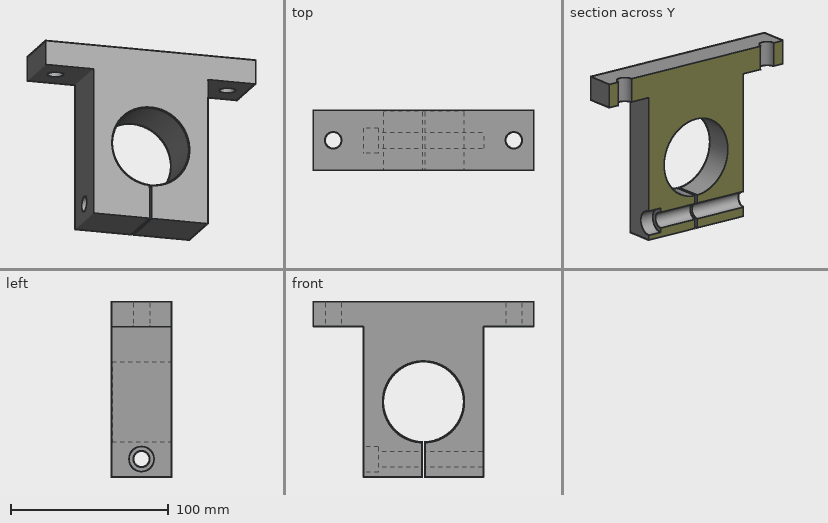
import cadquery as cq

thickness = 38.1
flange_length = 139.7
flange_height = 15.875
body_width = 76.2
total_height = 111.125

bore_diameter = 50.8
bore_depth_from_top = 63.5
bore_chamfer = 0.508
slit_width = 1.5875
edge_radius = 0.508

mount_hole_diameter = 10.319
mount_hole_spacing = 114.3

clamp_hole_diameter = 10.1
clamp_hole_height = 11.43
counterbore_diameter = 15.875
counterbore_depth = 9.525

top_z = bore_depth_from_top
bottom_z = top_z - total_height
side_x = body_width / 2


def make_block():
    """T-shaped block whose edges along Y are rounded, except at the top face."""
    flange_end = flange_length / 2
    flange_bottom = top_z - flange_height
    return (
        cq.Workplane("XZ", origin=(0, thickness / 2, 0))
        .moveTo(-flange_end, top_z)
        .lineTo(flange_end, top_z)
        .lineTo(flange_end, flange_bottom)
        .lineTo(side_x, flange_bottom)
        .lineTo(side_x, bottom_z)
        .lineTo(-side_x, bottom_z)
        .lineTo(-side_x, flange_bottom)
        .lineTo(-flange_end, flange_bottom)
        .close()
        .extrude(thickness)
        .edges("|Y and (not >Z)")
        .fillet(edge_radius)
    )


def make_bore():
    """Shaft bore along Y, flared by a small chamfer at both faces."""
    radius = bore_diameter / 2
    half = thickness / 2
    return (
        cq.Workplane("XY")
        .moveTo(0, -half)
        .lineTo(radius + bore_chamfer, -half)
        .lineTo(radius, -half + bore_chamfer)
        .lineTo(radius, half - bore_chamfer)
        .lineTo(radius + bore_chamfer, half)
        .lineTo(0, half)
        .close()
        .revolve(360, (0, 0, 0), (0, 1, 0))
    )


def make_slit():
    """Clamping slit from the bore down through the bottom face."""
    return (
        cq.Workplane("XY")
        .workplane(offset=bottom_z)
        .rect(slit_width, thickness)
        .extrude(-bottom_z)
    )


def make_mount_holes():
    """Vertical through holes near both ends of the flange."""
    return (
        cq.Workplane("XY")
        .workplane(offset=top_z - flange_height)
        .rarray(mount_hole_spacing, 1, 2, 1)
        .circle(mount_hole_diameter / 2)
        .extrude(flange_height)
    )


def make_clamp_hole():
    """Clamp screw hole along X across the slit, counterbored on the -X side."""
    entry = cq.Workplane("YZ", origin=(-side_x, 0, bottom_z + clamp_hole_height))
    hole = entry.circle(clamp_hole_diameter / 2).extrude(body_width)
    counterbore = entry.circle(counterbore_diameter / 2).extrude(counterbore_depth)
    return hole.union(counterbore)


result = (
    make_block()
    .cut(make_bore())
    .cut(make_slit())
    .cut(make_mount_holes())
    .cut(make_clamp_hole())
)